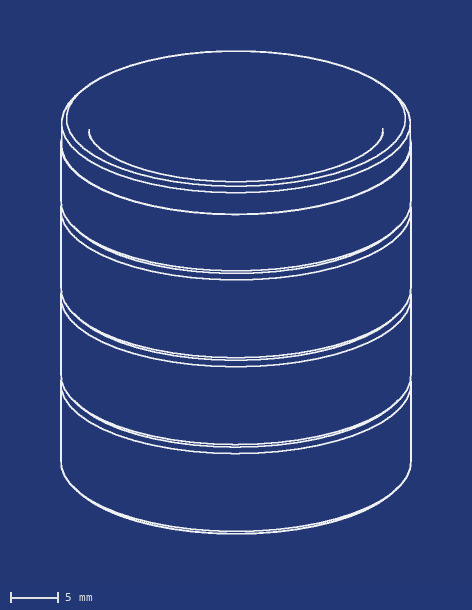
import cadquery as cq

height = 40.0
outer_diameter = 37.0
outer_radius = outer_diameter / 2
bore_diameter = 31.0
bore_radius = bore_diameter / 2
edge_chamfer = 0.5

collar_height = 3.0
collar_step = 0.1
collar_radius = outer_radius - collar_step

bore_fillet = 1.5

band_count = 4
band_height = height / band_count


def make_body():
    """Solid cylinder with a reduced collar and chamfered outer rims."""
    main_height = height - collar_height
    main = cq.Workplane("XY").circle(outer_radius).extrude(main_height)
    main = main.faces("<Z").chamfer(edge_chamfer)
    collar = cq.Workplane("XY").workplane(offset=main_height).circle(collar_radius).extrude(collar_height)
    collar = collar.faces(">Z").chamfer(edge_chamfer)
    return main.union(collar)


def make_groove(center_z):
    """Ring with a 90 degree V section pointing inward."""
    return (
        cq.Workplane("XZ")
        .moveTo(outer_radius - edge_chamfer, center_z)
        .lineTo(outer_radius + edge_chamfer, center_z + 2 * edge_chamfer)
        .lineTo(outer_radius + edge_chamfer, center_z - 2 * edge_chamfer)
        .close()
        .revolve(360, (0, 0, 0), (0, 1, 0))
    )


body = make_body()
for band in range(1, band_count):
    body = body.cut(make_groove(band * band_height))

bore = cq.Workplane("XY").circle(bore_radius).extrude(height)
body = body.cut(bore)
result = body.faces(">Z").edges(cq.selectors.RadiusNthSelector(0)).fillet(bore_fillet)